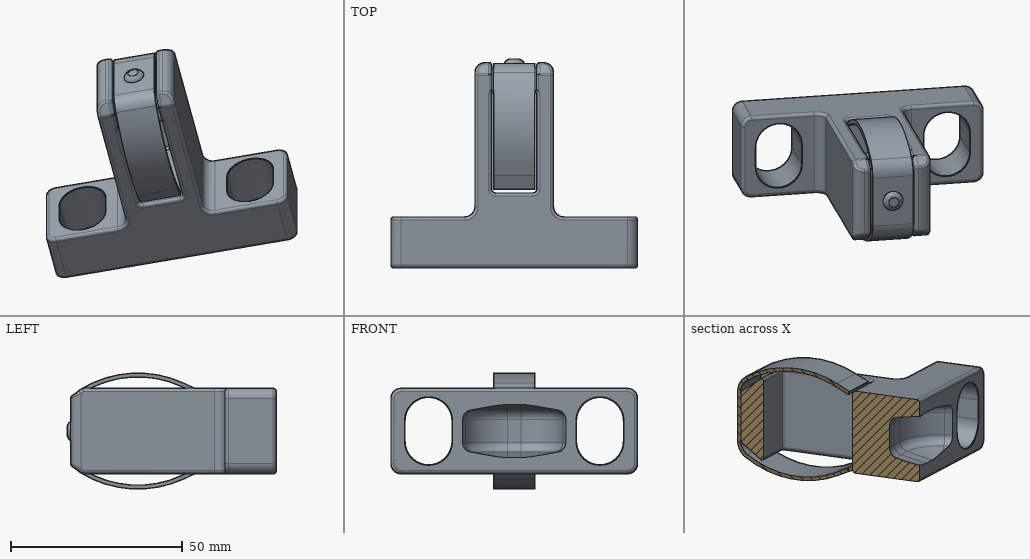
import cadquery as cq
import math

foot_length = 72.0
foot_depth = 15.0
height = 25.0
half_height = height / 2
stem_width = 23.0
stem_end = 60.0
corner_radius = 3.0
edge_radius = 1.0

bevel_depth = 3.5
bevel_angle = math.radians(35)
bevel_drop = bevel_depth * math.tan(bevel_angle)
bevel_start = stem_end - bevel_depth

slot_width = 13.0
slot_start = 22.0
slot_corner_radius = 1.0
web_corner_radius = 0.3
web_front = 51.1
web_back = 58.55
web_crest = 51.7
arm_rim_radius = 0.5

hole_spacing = 50.0
hole_width = 14.0
hole_height = 20.0
hole_chamfer = 0.2

scoop_half_flat = 1.9
scoop_half_height = 7.75
scoop_axis_setback = 2.7
scoop_radius = 13.2
scoop_draft = math.radians(11)
scoop_floor_radius = 2.8
scoop_end_degrees = 21.6
scoop_end_length = 5.0

spring_width = 12.0
spring_thickness = 1.2
spring_back = web_back + spring_thickness
spring_half_height = 16.95
bow_radius = 31.7
bow_center_y = 40.4
bow_start = 27.1
bow_end = 57.1
spring_tip = 23.0

stud_tip = 61.03
stud_radius = 2.95
stud_flat_radius = 1.5
stud_shoulder_radius = 2.4
stud_shoulder_drop = 0.5


def tee_block():
    """T-shaped plan with the rounded foot, filleted neck and bevelled stem end."""
    foot = (
        cq.Workplane("XY")
        .box(foot_length, foot_depth, height)
        .translate((0, foot_depth / 2, 0))
        .edges("|Y")
        .fillet(corner_radius)
    )
    stem = cq.Workplane("XY").box(stem_width, stem_end, height).translate((0, stem_end / 2, 0))
    tee = foot.union(stem)
    neck = cq.selectors.BoxSelector(
        (-stem_width, foot_depth - edge_radius, -height),
        (stem_width, foot_depth + edge_radius, height),
    )
    tee = tee.edges("|Z").edges(neck).fillet(corner_radius)
    tee = tee.edges("|Z and >Y").fillet(corner_radius)

    bevel = (
        cq.Workplane("YZ")
        .moveTo(bevel_start, half_height)
        .lineTo(stem_end, half_height)
        .lineTo(stem_end, half_height - bevel_drop)
        .close()
        .extrude(stem_width, both=True)
    )
    tee = tee.cut(bevel).cut(bevel.mirror("XY"))
    crest = cq.selectors.BoxSelector(
        (-stem_width, bevel_start - edge_radius / 2, -height),
        (stem_width, bevel_start + edge_radius / 2, height),
        boundingbox=True,
    )
    return tee.edges("|X").edges(crest).fillet(edge_radius)


def scoop_section():
    """Tapered section of the scoop, drawn as radius against Z."""
    draft_slope = math.tan(scoop_draft)
    floor_half_height = scoop_half_height - (scoop_radius - scoop_axis_setback) * draft_slope
    root_half_height = scoop_half_height + scoop_axis_setback * draft_slope
    return (
        cq.Sketch()
        .polygon(
            [
                (0, -root_half_height),
                (scoop_radius, -floor_half_height),
                (scoop_radius, floor_half_height),
                (0, root_half_height),
                (0, -root_half_height),
            ]
        )
        .vertices(">X")
        .fillet(scoop_floor_radius)
    )


def finger_scoop():
    """Straight middle, a turned quarter at each side and a straight run-out."""
    section = scoop_section()
    turn = 90 - scoop_end_degrees
    middle_plane = cq.Plane((0, -scoop_axis_setback, 0), xDir=(0, 1, 0), normal=(1, 0, 0))
    scoop = cq.Workplane(middle_plane).placeSketch(section).extrude(scoop_half_flat, both=True)

    end = math.radians(scoop_end_degrees)
    end_plane = cq.Plane(
        (scoop_half_flat, -scoop_axis_setback, 0),
        xDir=(math.cos(end), math.sin(end), 0),
        normal=(math.sin(end), -math.cos(end), 0),
    )
    quarter = cq.Workplane(end_plane).placeSketch(section).revolve(turn, (0, 0, 0), (0, 1, 0))
    run_out = cq.Workplane(end_plane).placeSketch(section).extrude(scoop_end_length)
    for side in (quarter, run_out):
        scoop = scoop.union(side).union(side.mirror("YZ"))
    return scoop


def spring_slot():
    """Closed window through the stem, with tight corners against the web."""
    length = web_front - slot_start
    return (
        cq.Workplane("XY")
        .box(slot_width, length, 2 * height)
        .translate((0, slot_start + length / 2, 0))
        .edges("|Z and <Y")
        .fillet(slot_corner_radius)
        .edges("|Z and >Y")
        .fillet(web_corner_radius)
    )


def web():
    """Cross-piece under the spring, sloping away from its crest on both faces."""
    slope_end = half_height - (web_back - web_crest) * math.tan(bevel_angle)
    return (
        cq.Workplane("YZ")
        .polyline(
            [
                (web_front, half_height),
                (web_crest, half_height),
                (web_back, slope_end),
                (web_back, -slope_end),
                (web_crest, -half_height),
                (web_front, -half_height),
            ]
        )
        .close()
        .extrude(slot_width / 2 + arm_rim_radius, both=True)
        .edges(">Y and |X")
        .fillet(edge_radius)
    )


def oblong_holes():
    """Through holes that flare slightly where they leave the foot."""
    centers = [(-hole_spacing / 2, 0), (hole_spacing / 2, 0)]
    bore_width = hole_width - 2 * hole_chamfer
    bore_height = hole_height - 2 * hole_chamfer
    holes = cq.Workplane("XZ").pushPoints(centers).slot2D(bore_height, bore_width, 90).extrude(-foot_depth)
    for face_y, direction in ((0, -1), (foot_depth, 1)):
        flare = (
            cq.Workplane("XZ", origin=(0, face_y, 0))
            .pushPoints(centers)
            .slot2D(hole_height, hole_width, 90)
            .extrude(direction * hole_chamfer, taper=45)
        )
        holes = holes.union(flare)
    return holes


def stud():
    """Domed stud standing on the back of the web."""
    return (
        cq.Workplane("XY")
        .moveTo(0, web_back)
        .lineTo(stud_radius, web_back)
        .lineTo(stud_radius, spring_back)
        .threePointArc((stud_shoulder_radius, stud_tip - stud_shoulder_drop), (stud_flat_radius, stud_tip))
        .lineTo(0, stud_tip)
        .close()
        .revolve(360, (0, 0, 0), (0, 1, 0))
    )


def near(x, y, z):
    """Selector for the edge closest to a point."""
    return cq.selectors.NearestToPointSelector((x, y, z))


def outer_block():
    """Tee block with its outer edges rounded."""
    block = tee_block()
    block = block.faces("<Y").edges().fillet(edge_radius)
    return block.edges(near(stem_width / 2, stem_end / 2, half_height)).fillet(edge_radius)


def slotted(block):
    """Block with the closed spring slot and its rounded rims."""
    block = block.cut(spring_slot())
    for z in (half_height, -half_height):
        block = block.edges(near(0, slot_start, z)).fillet(edge_radius)
    return block


def forked(block, rim_radius):
    """Block with the stem end split into two arms with rounded inner rims."""
    gap = cq.Workplane("XY").box(slot_width, stem_end, 2 * height)
    block = block.cut(gap.translate((0, web_front + stem_end / 2, 0)))
    arm_mid = (web_front + bevel_start) / 2
    for x in (slot_width / 2, -slot_width / 2):
        block = block.edges(near(x, arm_mid, half_height)).fillet(rim_radius)
    return block


def make_housing():
    """Housing with larger rims on the sloping arm ends than along the arms."""
    block = outer_block()
    bevel_zone = cq.Workplane("XY").box(foot_length, bevel_depth, height)
    bevel_zone = bevel_zone.translate((0, stem_end - bevel_depth / 2, 0))
    arms = forked(block, arm_rim_radius).cut(bevel_zone)
    arm_ends = forked(block, edge_radius).intersect(bevel_zone)

    body = arms.union(arm_ends).union(web()).intersect(slotted(block))
    return body.cut(oblong_holes()).cut(finger_scoop()).union(stud())


def spring_half():
    """Upper leaf from the middle of the back plate to the free tip."""
    bow_center = (bow_center_y, spring_half_height - bow_radius)
    end_angle = math.asin((bow_end - bow_center_y) / bow_radius)
    start_angle = math.asin((bow_start - bow_center_y) / bow_radius)
    bow_mid_angle = (start_angle + end_angle) / 2
    bend_radius = (spring_back - bow_end) / (1 - math.sin(end_angle))
    bend_center = (
        spring_back - bend_radius,
        bow_center[1] + (bow_radius - bend_radius) * math.cos(end_angle),
    )
    bend_mid_angle = (end_angle + math.pi / 2) / 2
    tail_length = (bow_start - spring_tip) / math.cos(start_angle)

    def polar(center, radius, angle):
        """Point at an angle measured from +Z toward +Y."""
        return (center[0] + radius * math.sin(angle), center[1] + radius * math.cos(angle))

    def tail_tip(radius):
        """End of the straight tail that leaves the bow at this radius."""
        y, z = polar(bow_center, radius, start_angle)
        return (y - tail_length * math.cos(start_angle), z + tail_length * math.sin(start_angle))

    bow_inner = bow_radius - spring_thickness
    bow_outer_start = polar(bow_center, bow_radius, start_angle)
    bow_outer_end = polar(bow_center, bow_radius, end_angle)
    bend_inner = bend_radius - spring_thickness
    return (
        cq.Workplane("YZ")
        .moveTo(spring_back, 0)
        .lineTo(spring_back, bend_center[1])
        .threePointArc(polar(bend_center, bend_radius, bend_mid_angle), bow_outer_end)
        .threePointArc(polar(bow_center, bow_radius, bow_mid_angle), bow_outer_start)
        .lineTo(*tail_tip(bow_radius))
        .lineTo(*tail_tip(bow_inner))
        .lineTo(*polar(bow_center, bow_inner, start_angle))
        .threePointArc(polar(bow_center, bow_inner, bow_mid_angle), polar(bow_center, bow_inner, end_angle))
        .threePointArc(polar(bend_center, bend_inner, bend_mid_angle), (web_back, bend_center[1]))
        .lineTo(web_back, 0)
        .close()
        .extrude(spring_width / 2, both=True)
    )


def make_spring():
    """Two mirrored leaves on one back plate, pierced for the stud."""
    upper = spring_half()
    return upper.union(upper.mirror("XY")).cut(stud())


housing = make_housing()
spring = make_spring()

result = cq.Compound.makeCompound([*housing.solids().vals(), *spring.solids().vals()])